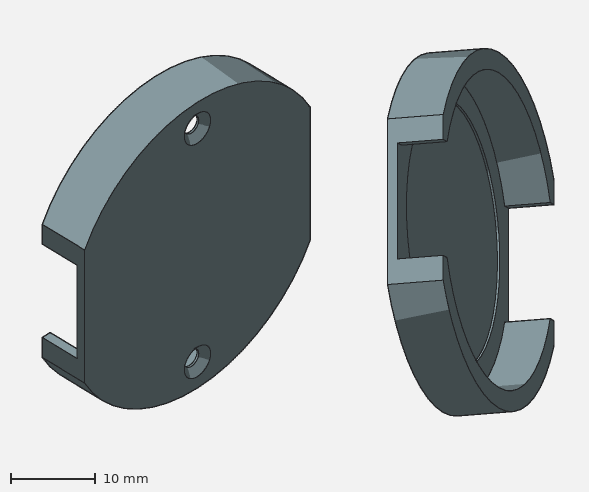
import cadquery as cq

outer_diameter = 42.95
width_across_flats = 38.0
thickness = 7.0

floor_thickness = 1.3
cup_diameter = 38.0
slot_height = 14.0

recess_diameter = 32.0
recess_depth = 0.3

hole_diameter = 2.45
hole_offset = 17.5

countersink_diameter = 4.42
countersink_depth = 1.0

front_x = -thickness / 2
back_x = thickness / 2
cup_depth = thickness - floor_thickness
floor_x = front_x + cup_depth


def cylinder_along_x(diameter, start_x, length, center_z=0):
    """Cylinder growing toward +X from start_x."""
    plane = cq.Workplane("YZ", origin=(start_x, 0, center_z))
    return plane.circle(diameter / 2).extrude(length)


def block_along_x(width, height, start_x, length):
    """Centred rectangular block growing toward +X from start_x."""
    return cq.Workplane("YZ", origin=(start_x, 0, 0)).rect(width, height).extrude(length)


def countersink(center_z):
    """Cone widening from the hole diameter to the back face."""
    plane = cq.Workplane("YZ", origin=(back_x - countersink_depth, 0, center_z))
    small_end = plane.circle(hole_diameter / 2)
    return small_end.workplane(offset=countersink_depth).circle(countersink_diameter / 2).loft()


disc = cylinder_along_x(outer_diameter, front_x, thickness)
body = disc.intersect(block_along_x(width_across_flats, outer_diameter, front_x, thickness))

body = body.cut(cylinder_along_x(cup_diameter, front_x, cup_depth))
body = body.cut(block_along_x(outer_diameter, slot_height, front_x, cup_depth))

body = body.cut(cylinder_along_x(recess_diameter, floor_x, recess_depth))

for side in (-1, 1):
    center_z = side * hole_offset
    body = body.cut(cylinder_along_x(hole_diameter, floor_x, floor_thickness, center_z))
    body = body.cut(countersink(center_z))

result = body